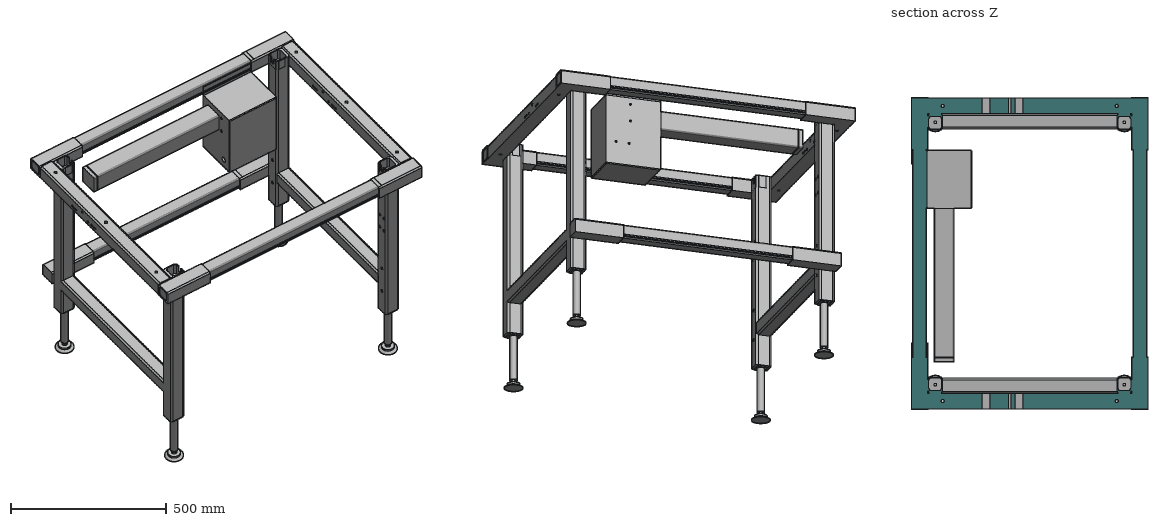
import cadquery as cq

WIDTH = 762.34
LENGTH = 1003.3
HEIGHT = 839.61
SIDES = (-1, 1)

SECTION = 47.8
BEAM_DEPTH = 51.6
LOW_BEAM_DEPTH = 50.2
TOP_BEAM_INSET = 1.0
POST_DEPTH = 53.2
POST_BEVEL_Y = 8.0
BEAM_BEVEL_Y = 6.5
BEVEL = 4.5
POST_WALL = 3.0
POST_OUTER_WALL = 10.0

SLEEVE_WIDTH = 53.2
SLEEVE_BEVEL = 5.0
TOP_SLEEVE_LENGTH = 168.0
LOW_SLEEVE_LENGTH = 165.5
RAIL = 44.45
RAIL_ROUND = 4.0
RAIL_GROOVE_Z = 10.25
RAIL_GROOVE_HEIGHT = 4.5
RAIL_GROOVE_DEPTH = 1.0
CAP_SIZE = 38.0
CAP_ROUND = 8.0
CAP_RECESS = 1.0
NOTCH_LENGTH = 12.0
NOTCH_DEPTH = 0.4
RAIL_DROP = 0.8

RAIL_X = (WIDTH - SLEEVE_WIDTH) / 2
POST_OUTER_X = WIDTH / 2 - SLEEVE_WIDTH
POST_X = POST_OUTER_X - SECTION / 2
TOP_BEAM_Y = (LENGTH - BEAM_DEPTH) / 2 - TOP_BEAM_INSET
POST_OUTER_Y = 450.6
POST_Y = POST_OUTER_Y - POST_DEPTH / 2
POST_INNER_Y = POST_OUTER_Y - POST_DEPTH
LOW_BEAM_Y = POST_OUTER_Y - LOW_BEAM_DEPTH / 2
LOW_TOP_Z = 332.6
LOW_SLEEVE_END_Y = 454.0
POST_BOTTOM_Z = 182.0
POST_TOP_Z = HEIGHT - 3.0
POST_FLOOR_DEPTH = 40.0

TOP_HOLE_X = 280.0
TOP_HOLE_DIAMETER = 9.0
CENTRE_HOLE_DIAMETER = 10.0
CENTRE_HOLE_DEPTH = 10.0
SLOT_CENTRES_X = (-140.5, -34.5)
SLOT_LENGTH = 27.0
SLOT_HEIGHT = 5.0
SLOT_DROP = 34.5
FACE_HOLES = ((-96.0, 17.5), (-64.0, 35.5))
FACE_HOLE_DIAMETER = 7.0

POST_HOLES = ((0, 376.0), (0, 274.0), (-12.0, 610.0), (-12.0, 555.0), (12.0, 610.0), (12.0, 555.0))
POST_HOLE_DIAMETER = 9.0
POST_HOLE_DEPTH = 6.0
POST_SLOT_WIDTH = 12.0
POST_SLOT_BOTTOM_Z = 815.0

FOOT_Y = 422.0
ROD_DIAMETER = 25.0
ROD_BOTTOM_Z = 28.2
PLUG_HEIGHT = 4.0
PLUG_BEVEL = 3.0
PLUG_BOLT_DIAMETER = 9.0
PLUG_BOLT_HEIGHT = 4.0
FOOT_DIAMETER = 61.0
FOOT_RIM = 2.0
FOOT_HUB_DIAMETER = 42.0
FOOT_HUB_BOTTOM = 8.0
FOOT_HUB_TOP = 15.0
BALL_DIAMETER = 18.0
BALL_TOP = 21.0
NECK_DIAMETER = 10.0

BOX_X = (-333.3, -186.3)
BOX_Y = (145.0, 332.3)
BOX_Z = (555.6, 792.0)
HANGER_THICKNESS = 3.5
HANGER_TOP_Z = 830.0
BOX_SIDE_HOLES = ((249.0, 768.8), (249.0, 711.6), (298.0, 634.0), (253.0, 634.0))
BOX_SIDE_HOLE_DIAMETER = 6.0
BOX_FRONT_HOLES = ((-231.5, 767.0), (-231.5, 710.0))
BOX_FRONT_HOLE_DIAMETER = 8.0
BUTTON_HOLE = (-218.7, 591.0)
BUTTON_HOLE_DIAMETER = 18.0
BOX_HOLE_DEPTH = 8.0
BOX_BEVEL = 3.0

DUCT_X = -275.5
DUCT_Z = 737.5
DUCT_SIZE = 64.5
DUCT_ROUND = 4.0
DUCT_END_Y = -348.6
DUCT_CAP_LENGTH = 13.0
DUCT_GROOVE_LENGTH = 2.0
DUCT_GROOVE_DEPTH = 2.0


def block(x_range, y_range, z_range):
    """Box spanning the three (low, high) ranges."""
    low, high = zip(x_range, y_range, z_range)
    size = [b - a for a, b in zip(low, high)]
    return cq.Workplane("XY").box(*size, centered=False).translate(low)


def cylinder(direction, start, diameter, length):
    """Cylinder growing from the start point along the direction."""
    return cq.Workplane(cq.Solid.makeCylinder(diameter / 2, length, cq.Vector(*start), cq.Vector(*direction)))


def bevelled_outline(plane, depth, width, bevel_y):
    """Section outline: depth along the plane's first axis, width along its second."""
    d = depth / 2
    w = width / 2
    corners = [(d - bevel_y, w), (d, w - BEVEL), (d, BEVEL - w), (d - bevel_y, -w)]
    opposite = [(-x, -y) for x, y in corners]
    return cq.Workplane(plane).polyline(corners + opposite).close()


def upright_bar(x, y, z_range, depth, width):
    """Vertical bar of the bevelled section, its depth along Y."""
    low, high = z_range
    bar = bevelled_outline("XY", depth, width, POST_BEVEL_Y).extrude(high - low)
    return bar.rotate((0, 0, 0), (0, 0, 1), 90).translate((x, y, low))


def cross_beam(y, top_z, length, depth):
    """Horizontal beam along X."""
    beam = bevelled_outline("YZ", depth, SECTION, BEAM_BEVEL_Y).extrude(length / 2, both=True)
    return beam.translate((0, y, top_z - SECTION / 2))


def top_beam(y_side):
    """Upper cross beam, bevelled on top and square below, with its mounting holes and slots."""
    y = y_side * TOP_BEAM_Y
    beam = cross_beam(y, HEIGHT, 2 * POST_OUTER_X, BEAM_DEPTH)
    x_range = (-POST_OUTER_X, POST_OUTER_X)
    y_range = (y - BEAM_DEPTH / 2, y + BEAM_DEPTH / 2)
    beam = beam.union(block(x_range, y_range, (HEIGHT - SECTION, HEIGHT - SECTION / 2)))
    for x_side in SIDES:
        beam = beam.cut(cylinder((0, 0, -1), (x_side * TOP_HOLE_X, y, HEIGHT), TOP_HOLE_DIAMETER, SECTION))
    beam = beam.cut(cylinder((0, 0, -1), (0, y, HEIGHT), CENTRE_HOLE_DIAMETER, CENTRE_HOLE_DEPTH))
    slots = (
        cq.Workplane("XZ")
        .pushPoints([(x, HEIGHT - SLOT_DROP) for x in SLOT_CENTRES_X])
        .slot2D(SLOT_LENGTH, SLOT_HEIGHT)
        .extrude(BEAM_DEPTH, both=True)
    )
    beam = beam.cut(slots.translate((0, y, 0)))
    for x, drop in FACE_HOLES:
        start = (x, y - BEAM_DEPTH / 2, HEIGHT - drop)
        beam = beam.cut(cylinder((0, 1, 0), start, FACE_HOLE_DIAMETER, BEAM_DEPTH))
    return beam


def post(x_side, y_side):
    """Bevelled post, open at the top, with a plugged bottom and a slot and holes in its inward face."""
    x = x_side * POST_X
    y = y_side * POST_Y
    floor_z = POST_TOP_Z - POST_FLOOR_DEPTH
    bar = upright_bar(x, y, (POST_BOTTOM_Z, POST_TOP_Z), POST_DEPTH, SECTION)
    well_depth = POST_DEPTH - POST_WALL - POST_OUTER_WALL
    well_y = y_side * (POST_INNER_Y + POST_WALL + well_depth / 2)
    bar = bar.cut(upright_bar(x, well_y, (floor_z, POST_TOP_Z), well_depth, SECTION - 2 * POST_WALL))
    slot = cq.Workplane("XY").box(POST_SLOT_WIDTH, 2 * POST_WALL, 2 * (POST_TOP_Z - POST_SLOT_BOTTOM_Z))
    bar = bar.cut(slot.translate((x, y_side * POST_INNER_Y, POST_TOP_Z)))
    bolt_start = (x, y_side * FOOT_Y, floor_z)
    bar = bar.union(cylinder((0, 0, 1), bolt_start, PLUG_BOLT_DIAMETER, PLUG_BOLT_HEIGHT))
    for offset, z in POST_HOLES:
        start = (x + offset, y_side * POST_INNER_Y, z)
        bar = bar.cut(cylinder((0, y_side, 0), start, POST_HOLE_DIAMETER, POST_HOLE_DEPTH))
    plug = (
        cq.Workplane("XY")
        .rect(SECTION - BEVEL, POST_DEPTH - 2 * POST_BEVEL_Y)
        .extrude(-PLUG_HEIGHT)
        .faces("<Z")
        .chamfer(PLUG_BEVEL)
        .translate((x, y, POST_BOTTOM_Z))
    )
    return bar.union(plug)


def foot(x_side, y_side):
    """Levelling foot: round pad, ball joint and rod."""
    outline = [
        (0, 0),
        (FOOT_DIAMETER / 2, 0),
        (FOOT_DIAMETER / 2, FOOT_RIM),
        (FOOT_HUB_DIAMETER / 2, FOOT_HUB_BOTTOM),
        (FOOT_HUB_DIAMETER / 2, FOOT_HUB_TOP),
        (BALL_DIAMETER / 2, FOOT_HUB_TOP),
        (BALL_DIAMETER / 2, BALL_TOP),
        (NECK_DIAMETER / 2, BALL_TOP),
        (NECK_DIAMETER / 2, ROD_BOTTOM_Z),
        (ROD_DIAMETER / 2, ROD_BOTTOM_Z),
        (ROD_DIAMETER / 2, POST_BOTTOM_Z),
        (0, POST_BOTTOM_Z),
    ]
    turned = cq.Workplane("XZ").polyline(outline).close().revolve(360, (0, 0, 0), (0, 1, 0))
    return turned.translate((x_side * POST_X, y_side * FOOT_Y, 0))


def sleeve(x_side, y_side, end_y, length, top_z):
    """Sleeve around a rail end; the +Y one has a shallow step at its mouth."""
    body = (
        cq.Workplane("XY")
        .box(SLEEVE_WIDTH, length, SECTION)
        .edges("|Y and >Z")
        .chamfer(SLEEVE_BEVEL)
        .translate((x_side * RAIL_X, y_side * (end_y - length / 2), top_z - SECTION / 2))
    )
    if y_side > 0:
        step = cq.Workplane("XY").box(SLEEVE_WIDTH, NOTCH_LENGTH, 2 * NOTCH_DEPTH)
        mouth_y = end_y - length + NOTCH_LENGTH / 2
        body = body.cut(step.translate((x_side * RAIL_X, mouth_y, top_z)))
    return body


def end_recess(x_side, y_side):
    """Shallow round-cornered recess in the outer end of an upper sleeve."""
    return (
        cq.Workplane("XY")
        .box(CAP_SIZE, 2 * CAP_RECESS, CAP_SIZE)
        .edges("|Y")
        .fillet(CAP_ROUND)
        .translate((x_side * RAIL_X, y_side * LENGTH / 2, HEIGHT - SECTION / 2))
    )


def rail(x_side, length, top_z):
    """Square rail along Y, with a shallow groove low on each side."""
    bar = cq.Workplane("XY").box(RAIL, length, RAIL).edges("|Y and >Z").fillet(RAIL_ROUND)
    bar = bar.edges("|Y and <Z").chamfer(RAIL_ROUND)
    groove = cq.Workplane("XY").box(2 * RAIL_GROOVE_DEPTH, length, RAIL_GROOVE_HEIGHT)
    for side in SIDES:
        bar = bar.cut(groove.translate((side * RAIL / 2, 0, RAIL_GROOVE_Z - RAIL / 2)))
    return bar.translate((x_side * RAIL_X, 0, top_z - RAIL_DROP - RAIL / 2))


def side_frame(x_side, end_y, sleeve_length, top_z):
    """One rail with a sleeve at each end."""
    frame = rail(x_side, 2 * end_y - sleeve_length, top_z)
    for y_side in SIDES:
        frame = frame.union(sleeve(x_side, y_side, end_y, sleeve_length, top_z))
    return frame


def control_box():
    """Box bevelled around its +X and bottom faces, with hanger plate and holes."""
    box = block(BOX_X, BOX_Y, BOX_Z).edges(">X or <Z").chamfer(BOX_BEVEL)
    for y, z in BOX_SIDE_HOLES:
        box = box.cut(cylinder((1, 0, 0), (BOX_X[0], y, z), BOX_SIDE_HOLE_DIAMETER, BOX_HOLE_DEPTH))
    for x, z in BOX_FRONT_HOLES:
        box = box.cut(cylinder((0, 1, 0), (x, BOX_Y[0], z), BOX_FRONT_HOLE_DIAMETER, BOX_HOLE_DEPTH))
    button_start = (BUTTON_HOLE[0], BOX_Y[0], BUTTON_HOLE[1])
    box = box.cut(cylinder((0, 1, 0), button_start, BUTTON_HOLE_DIAMETER, BOX_HOLE_DEPTH))
    hanger = block((BOX_X[0], BOX_X[0] + HANGER_THICKNESS), BOX_Y, (BOX_Z[1], HANGER_TOP_Z))
    return box.union(hanger)


def duct_length(size, y_start, y_end):
    """Round-cornered square stretch of the duct between two Y positions."""
    stretch = cq.Workplane("XY").box(size, y_end - y_start, size).edges("|Y").fillet(DUCT_ROUND)
    return stretch.translate((DUCT_X, (y_start + y_end) / 2, DUCT_Z))


def duct():
    """Cable duct with a groove in front of its end cap."""
    cap_y = DUCT_END_Y + DUCT_CAP_LENGTH
    body_y = cap_y + DUCT_GROOVE_LENGTH
    cap = duct_length(DUCT_SIZE, DUCT_END_Y, cap_y)
    neck = duct_length(DUCT_SIZE - 2 * DUCT_GROOVE_DEPTH, cap_y, body_y)
    return cap.union(neck).union(duct_length(DUCT_SIZE, body_y, BOX_Y[0]))


result = side_frame(-1, LOW_SLEEVE_END_Y, LOW_SLEEVE_LENGTH, LOW_TOP_Z)
for x_side in SIDES:
    result = result.union(side_frame(x_side, LENGTH / 2, TOP_SLEEVE_LENGTH, HEIGHT))
for y_side in SIDES:
    result = result.union(top_beam(y_side))
    result = result.union(cross_beam(y_side * LOW_BEAM_Y, LOW_TOP_Z, 2 * POST_X, LOW_BEAM_DEPTH))
    for x_side in SIDES:
        result = result.cut(end_recess(x_side, y_side))
        result = result.union(post(x_side, y_side)).union(foot(x_side, y_side))
result = result.union(control_box()).union(duct())